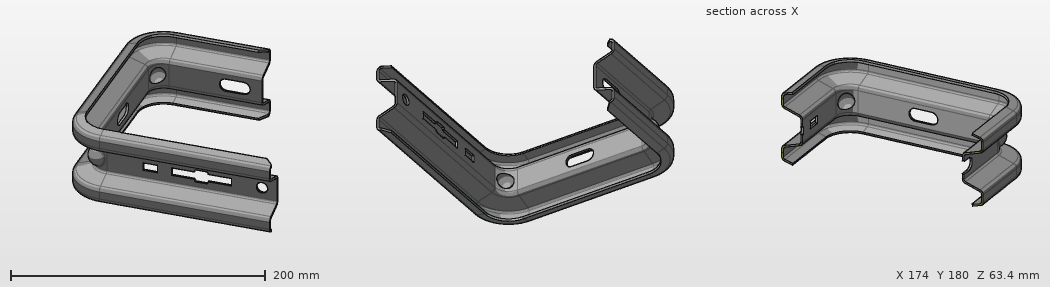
import cadquery as cq
import math

LENGTH_X = 174.0
WIDTH_Y = 180.0
HEIGHT_Z = 63.4
BACK_ARM_LENGTH = 109.5
CORNER_RADIUS = 31.9

THICKNESS = 2.0
BEND_RADIUS = 2.0
SECTION_DEPTH = 19.0
WEB_HALF_HEIGHT = 9.7
WALL_TILT = 18.0
LIP_TILT = 15.0
LIP_DEPTH = 9.9
LIP_CHAMFER = 5.8

SLOT_LENGTH = 25.5
SLOT_HEIGHT = 11.0
BACK_SLOT_X = 86.5
TAB_HOLE_START = 62.3
TAB_HOLE_END = 74.2
NARROW_HEIGHT = 6.7
KEYHOLE_START = 86.0
KEYHOLE_END = 135.9
KEYHOLE_WIDE_START = 105.0
KEYHOLE_WIDE_END = 116.5
KEYHOLE_WIDE_HEIGHT = 10.8
KEYHOLE_CHAMFER = 1.0
ROUND_HOLE_X = 161.5
ROUND_HOLE_DIAMETER = 9.4

DOME_RADIUS = 9.0
DOME_CENTRE_OFFSET = 11.9
DOME_FILLET = 1.3
RIM_TOLERANCE = 0.02

HALF_WIDTH = WIDTH_Y / 2
HALF_HEIGHT = HEIGHT_Z / 2
CORNER_Y = HALF_WIDTH - CORNER_RADIUS
WEB_OUTER_DEPTH = SECTION_DEPTH - THICKNESS


def trace_outline(sketch, start, steps):
    """Draw straights, each followed by a turn to the right (positive) or left (negative)."""
    x, z = start
    heading = 0.0
    sketch = sketch.moveTo(x, z)
    for length, turn, radius in steps:
        x += length * math.sin(heading)
        z += length * math.cos(heading)
        sketch = sketch.lineTo(x, z)
        if radius > 0:
            reach = math.copysign(radius, turn)
            centre_x = x + reach * math.cos(heading)
            centre_z = z - reach * math.sin(heading)
            middle = heading + turn / 2
            end = heading + turn
            x = centre_x - reach * math.cos(end)
            z = centre_z + reach * math.sin(end)
            arc_middle = (centre_x - reach * math.cos(middle), centre_z + reach * math.sin(middle))
            sketch = sketch.threePointArc(arc_middle, (x, z))
        heading += turn
    return sketch.close()


def half_section(plane):
    """Upper half of the sheet section: web, sloping wall, outer band and lip."""
    outer_radius = BEND_RADIUS + THICKNESS
    wall = math.radians(WALL_TILT)
    lip = math.radians(LIP_TILT)
    wall_bends_depth = (BEND_RADIUS + outer_radius) * (1 - math.sin(wall))
    wall_bends_height = (BEND_RADIUS + outer_radius) * math.cos(wall)
    wall_length = (WEB_OUTER_DEPTH - wall_bends_depth) / math.cos(wall)
    lip_length = (LIP_DEPTH - outer_radius * (1 - math.sin(lip))) / math.cos(lip)

    below_band = WEB_HALF_HEIGHT + wall_bends_height + wall_length * math.sin(wall)
    above_band = outer_radius * math.cos(lip) + lip_length * math.sin(lip)
    band_height = HALF_HEIGHT - below_band - above_band

    square = math.pi / 2
    wall_turn = square - wall
    lip_turn = square - lip
    outer_face = [
        (WEB_HALF_HEIGHT, -wall_turn, BEND_RADIUS),
        (wall_length, wall_turn, outer_radius),
        (band_height, lip_turn, outer_radius),
    ]
    lip_end = [(lip_length, square, 0), (THICKNESS, square, 0)]
    inner_face = [
        (lip_length, -lip_turn, BEND_RADIUS),
        (band_height, -wall_turn, BEND_RADIUS),
        (wall_length, wall_turn, outer_radius),
        (WEB_HALF_HEIGHT, 0, 0),
    ]
    start = (WEB_OUTER_DEPTH, 0)
    return trace_outline(cq.Workplane(plane), start, outer_face + lip_end + inner_face)


def section_plane(x, y, inward, travel):
    """Section plane at a point on the outer face, facing the direction of travel."""
    return cq.Plane(origin=(x, y, 0), xDir=inward, normal=travel)


def make_channel():
    """Two arms and a connecting run joined by quarter-turn corners."""
    front_bend_end = section_plane(CORNER_RADIUS, -HALF_WIDTH, (0, 1, 0), (1, 0, 0))
    front_bend_start = section_plane(0, -CORNER_Y, (1, 0, 0), (0, -1, 0))
    back_bend_end = section_plane(0, CORNER_Y, (1, 0, 0), (0, -1, 0))
    back_bend_start = section_plane(CORNER_RADIUS, HALF_WIDTH, (0, -1, 0), (-1, 0, 0))
    back_tip = section_plane(BACK_ARM_LENGTH, HALF_WIDTH, (0, -1, 0), (-1, 0, 0))

    upper = half_section(front_bend_end).extrude(LENGTH_X - CORNER_RADIUS)
    upper = upper.union(half_section(back_bend_end).extrude(2 * CORNER_Y))
    upper = upper.union(half_section(back_tip).extrude(BACK_ARM_LENGTH - CORNER_RADIUS))
    for bend_start in (back_bend_start, front_bend_start):
        corner = half_section(bend_start).revolve(90, (CORNER_RADIUS, 0, 0), (CORNER_RADIUS, 1, 0))
        upper = upper.union(corner)
    return upper.union(upper.mirror("XY")).clean()


def lip_corner_cut(tip_x, side):
    """Prisms that bevel the upper and lower lips at the tip of an arm."""
    edge_y = side * (HALF_WIDTH - LIP_DEPTH + LIP_CHAMFER)
    free_y = edge_y - side * 2 * LIP_CHAMFER
    corner = [(tip_x, edge_y), (tip_x, free_y), (tip_x - 2 * LIP_CHAMFER, free_y)]
    prism_height = HALF_HEIGHT - LIP_CHAMFER
    upper = cq.Workplane("XY", origin=(0, 0, prism_height)).polyline(corner).close().extrude(HALF_HEIGHT)
    return upper.union(upper.mirror("XY"))


def is_dome_rim(edge, centre):
    """True where a dome of the given centre meets the web, leaving out the ball's circular seam."""
    samples = edge.positions([0.0, 0.3, 0.7, 1.0])
    on_ball = all(abs((point - centre).Length - DOME_RADIUS) < RIM_TOLERANCE for point in samples)
    return on_ball and edge.geomType() != "CIRCLE"


def add_dome(channel, side):
    """Hollow dome on the bisector of a corner, blended into the bent web."""
    along_axis = DOME_CENTRE_OFFSET * math.sqrt(0.5)
    centre = cq.Vector(CORNER_RADIUS - along_axis, side * (CORNER_Y + along_axis), 0)
    web_middle_radius = CORNER_RADIUS - SECTION_DEPTH + THICKNESS / 2
    inside_bend = cq.Workplane().center(CORNER_RADIUS, side * CORNER_Y)
    inside_bend = inside_bend.circle(web_middle_radius).extrude(DOME_RADIUS, both=True)
    cap = cq.Workplane(origin=centre).sphere(DOME_RADIUS).cut(inside_bend)
    cavity = cq.Workplane(origin=centre).sphere(DOME_RADIUS - THICKNESS)
    domed = channel.union(cap)
    rim = [edge for edge in domed.edges().vals() if is_dome_rim(edge, centre)]
    return domed.newObject(rim).fillet(DOME_FILLET).cut(cavity)


def arm_block(start_x, end_x, height):
    """Block through the front arm, between two places along it."""
    middle = cq.Workplane("XZ").center((start_x + end_x) / 2, 0)
    return middle.rect(end_x - start_x, height).extrude(HALF_WIDTH)


def front_arm_openings():
    """Tab hole, keyhole slot and round hole, cut through the front arm only."""
    tab_hole = arm_block(TAB_HOLE_START, TAB_HOLE_END, NARROW_HEIGHT)
    narrow = arm_block(KEYHOLE_START, KEYHOLE_END, NARROW_HEIGHT)
    wide = arm_block(KEYHOLE_WIDE_START, KEYHOLE_WIDE_END, KEYHOLE_WIDE_HEIGHT)
    wide = wide.edges("|Y").chamfer(KEYHOLE_CHAMFER)
    round_hole = cq.Workplane("XZ").center(ROUND_HOLE_X, 0).circle(ROUND_HOLE_DIAMETER / 2)
    return tab_hole.union(narrow).union(wide).union(round_hole.extrude(HALF_WIDTH))


def long_slots():
    """Round-ended slots through the back arm and the middle of the connecting run."""
    back_slot = cq.Workplane("XZ").center(BACK_SLOT_X, 0)
    back_slot = back_slot.slot2D(SLOT_LENGTH, SLOT_HEIGHT).extrude(-HALF_WIDTH)
    middle_slot = cq.Workplane("YZ").slot2D(SLOT_LENGTH, SLOT_HEIGHT).extrude(CORNER_RADIUS)
    return back_slot.union(middle_slot)


result = make_channel()
for arm_side in (-1, 1):
    result = add_dome(result, arm_side)
result = result.cut(lip_corner_cut(LENGTH_X, -1)).cut(lip_corner_cut(BACK_ARM_LENGTH, 1))
result = result.cut(front_arm_openings()).cut(long_slots()).solids()